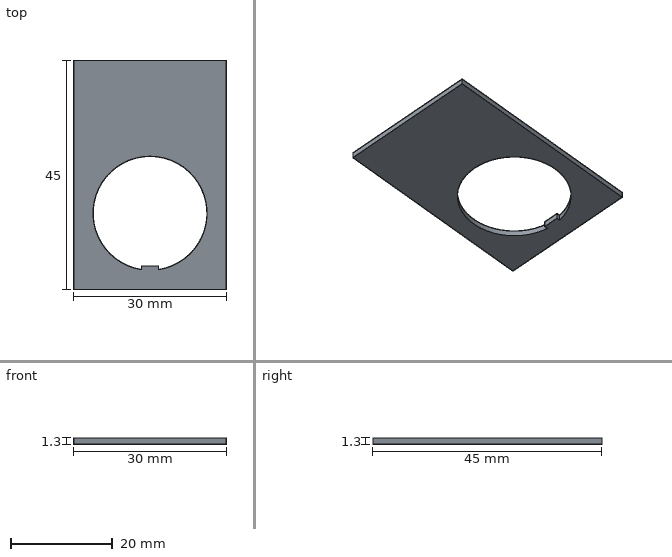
import cadquery as cq

plate_width = 30.0
plate_length = 45.0
plate_thickness = 1.3

hole_diameter = 22.3
hole_center_y = -plate_length / 6

tab_width = 3.38
tab_tip_distance = 10.3


def make_plate():
    return cq.Workplane("XY").box(plate_width, plate_length, plate_thickness)


def make_keyed_opening():
    """Through cylinder with the tab left out of it."""
    bottom = -plate_thickness / 2
    hole_radius = hole_diameter / 2
    opening = (
        cq.Workplane("XY", origin=(0, hole_center_y, bottom))
        .circle(hole_radius)
        .extrude(plate_thickness)
    )
    tab = (
        cq.Workplane("XY", origin=(0, hole_center_y - hole_radius, bottom))
        .rect(tab_width, 2 * (hole_radius - tab_tip_distance))
        .extrude(plate_thickness)
    )
    return opening.cut(tab)


result = make_plate().cut(make_keyed_opening())